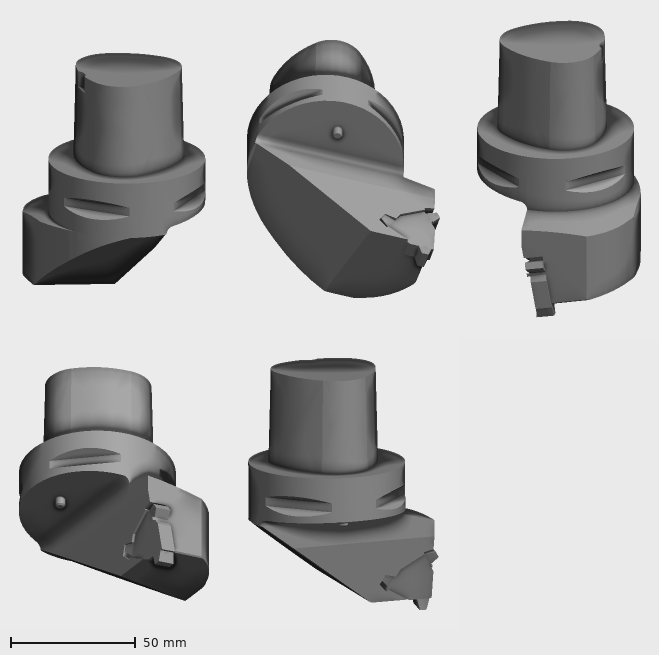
import cadquery as cq
import math

TOTAL_HEIGHT = 102.5
BIG = 204.9
THIRD_TURNS = (0, 120, 240)

COLLAR_RADIUS = 63.0 / 2
COLLAR_HEIGHT = 23.1
SLOT_LENGTH = 29.1
SLOT_FLAT_HEIGHT = 3.6
SLOT_CENTRE_Z = -12.1
SLOT_SIDE_ANGLE = 32.0

SHANK_HEIGHT = 37.9
FLANK_DISTANCE = 20.4
LOBE_DISTANCE = 23.6
FLANK_RADIUS = 38.9
SHANK_TAPER = math.degrees(math.atan(1 / 40))
NOTCH_RADIUS = 5.6
NOTCH_INNER_Y = -17.9
NOTCH_DEPTH = 6.6

HEAD_BACK_Y = 6.0
SIDE_BACK_X = -44.1
SIDE_CORNER = (-43.4, -20.5)
SIDE_ARC_END = (-26.4, -34.8)
SIDE_ARC_BULGE = 2.0
FRONT_Y = -36.4
FRONT_FLAT_LEFT_X = -20.3
FRONT_FLAT_RIGHT_X = -13.9
BLEND_ARC_BULGE = 0.4
TANGENT_ANGLE = 31.0

HEAD_TOP_ANGLE = 15.0
FRONT_BEVEL_Z = -27.6
FRONT_BEVEL_ANGLE = 15.0
UNDERCUT_TOP = (COLLAR_RADIUS, -22.1)
UNDERCUT_END = (-18.4, -59.3)
BOTTOM_CHAMFER = 0.5
RELIEF_RIM_Z = -18.1
RELIEF_ANGLE = 5.0
RELIEF_FILLET = 3.1

NOZZLE_DIAMETER = 4.0
NOZZLE_TIP_DIAMETER = 2.7
NOZZLE_Y = 18.1
NOZZLE_END_Z = -22.8

SEAT_TILT = 10.0
INSERT_X = -37.0
TIP_Z = SHANK_HEIGHT - TOTAL_HEIGHT
TIP_REACH = 13.1
TIP_OFFSET = -4.6
TIP_END_WIDTH = 2.8
TIP_ROOT_WIDTH = 5.3
CORE_SIDE_DISTANCE = 8.2
CORE_END_DISTANCE = 8.6
INSERT_THICKNESS = 7.3
TIP_CLEARANCE = 1.8
HEAD_BOTTOM_DROP = 7.8
SEAT_FACE_RISE = 0.5

tilt = math.radians(SEAT_TILT)
seat_plane = cq.Plane(
    origin=(INSERT_X, TIP_REACH * math.sin(tilt), TIP_Z + TIP_REACH * math.cos(tilt)),
    xDir=(1, 0, 0),
    normal=(0, -math.cos(tilt), math.sin(tilt)),
)


def polar(radius, degrees):
    """Point at a radius and an angle from +X."""
    angle = math.radians(degrees)
    return (radius * math.cos(angle), radius * math.sin(angle))


def make_shank():
    """Tapered coupling: three flank arcs, tangent to three lobe arcs."""
    flank_offset = FLANK_RADIUS - FLANK_DISTANCE
    gap = LOBE_DISTANCE - FLANK_DISTANCE
    lobe_offset = (2 * gap * flank_offset - gap**2) / (flank_offset - 2 * gap)
    lobe_radius = LOBE_DISTANCE - lobe_offset
    first_lobe_angle = -30
    lobe_x, lobe_y = polar(lobe_offset, first_lobe_angle)
    reach = FLANK_RADIUS / (FLANK_RADIUS - lobe_radius)
    joint_x = lobe_x * reach
    joint_y = flank_offset + (lobe_y - flank_offset) * reach
    joint_radius = math.hypot(joint_x, joint_y)
    joint_angle = math.degrees(math.atan2(joint_x, -joint_y))

    outline = cq.Workplane("XY").moveTo(*polar(joint_radius, -90 - joint_angle))
    for turn in THIRD_TURNS:
        flank_angle = turn - 90
        flank_end = polar(joint_radius, flank_angle + joint_angle)
        lobe_end = polar(joint_radius, flank_angle + 120 - joint_angle)
        outline = outline.threePointArc(polar(FLANK_DISTANCE, flank_angle), flank_end)
        outline = outline.threePointArc(polar(LOBE_DISTANCE, turn + first_lobe_angle), lobe_end)
    shank = outline.close().extrude(SHANK_HEIGHT, taper=SHANK_TAPER)
    notch = (
        cq.Workplane("XY", origin=(0, NOTCH_INNER_Y - NOTCH_RADIUS, SHANK_HEIGHT))
        .circle(NOTCH_RADIUS)
        .extrude(-NOTCH_DEPTH)
    )
    return shank.cut(notch)


def make_collar():
    """Cylindrical collar with four gripper slots between the axes."""
    collar = cq.Workplane("XY").circle(COLLAR_RADIUS).extrude(-COLLAR_HEIGHT)
    flat_distance = math.sqrt(COLLAR_RADIUS**2 - (SLOT_LENGTH / 2) ** 2)
    half_flat = SLOT_FLAT_HEIGHT / 2
    flared = half_flat + (COLLAR_RADIUS - flat_distance) * math.tan(math.radians(SLOT_SIDE_ANGLE))
    slot = (
        cq.Workplane("XZ", origin=(0, 0, SLOT_CENTRE_Z))
        .polyline(
            [
                (flat_distance, -half_flat),
                (COLLAR_RADIUS, -flared),
                (COLLAR_RADIUS, flared),
                (flat_distance, half_flat),
            ]
        )
        .close()
        .extrude(SLOT_LENGTH / 2, both=True)
    )
    for angle in (45, 135, 225, 315):
        collar = collar.cut(slot.rotate((0, 0, 0), (0, 0, 1), angle))
    return collar


def make_head_plan():
    """Offset head outline, extruded down past its lowest point."""
    angle = math.radians(TANGENT_ANGLE)
    front_radius = (
        COLLAR_RADIUS - FRONT_FLAT_RIGHT_X * math.sin(angle) + FRONT_Y * math.cos(angle)
    ) / (1 - math.cos(angle))
    front_centre_y = FRONT_Y + front_radius

    def front_point(degrees):
        x, y = polar(front_radius, degrees - 90)
        return (FRONT_FLAT_RIGHT_X + x, front_centre_y + y)

    back_x = math.sqrt(COLLAR_RADIUS**2 - HEAD_BACK_Y**2)
    return (
        cq.Workplane("XY")
        .moveTo(SIDE_BACK_X, HEAD_BACK_Y)
        .lineTo(*SIDE_CORNER)
        .sagittaArc(SIDE_ARC_END, -SIDE_ARC_BULGE)
        .sagittaArc((FRONT_FLAT_LEFT_X, FRONT_Y), -BLEND_ARC_BULGE)
        .lineTo(FRONT_FLAT_RIGHT_X, FRONT_Y)
        .threePointArc(front_point(TANGENT_ANGLE / 2), front_point(TANGENT_ANGLE))
        .lineTo(*polar(COLLAR_RADIUS, TANGENT_ANGLE - 90))
        .threePointArc((COLLAR_RADIUS, 0), (back_x, HEAD_BACK_Y))
        .close()
        .extrude(-BIG)
    )


def make_head():
    """Head below the collar, trimmed by its conical top, front bevel, undercut and bottom."""
    head_drop = (BIG - COLLAR_RADIUS) * math.tan(math.radians(HEAD_TOP_ANGLE))
    under_cone = (
        cq.Workplane("XZ")
        .polyline(
            [
                (0, -COLLAR_HEIGHT),
                (COLLAR_RADIUS, -COLLAR_HEIGHT),
                (BIG, -COLLAR_HEIGHT - head_drop),
                (BIG, -BIG),
                (0, -BIG),
            ]
        )
        .close()
        .revolve(360, (0, 0), (0, 1))
    )
    bevel_lean = math.tan(math.radians(FRONT_BEVEL_ANGLE))
    front_bevel = (
        cq.Workplane("YZ")
        .polyline(
            [
                (FRONT_Y - BIG * bevel_lean, FRONT_BEVEL_Z - BIG),
                (FRONT_Y - FRONT_BEVEL_Z * bevel_lean, 0),
                (FRONT_Y - BIG * bevel_lean, 0),
            ]
        )
        .close()
        .extrude(BIG, both=True)
    )
    slope = (UNDERCUT_TOP[1] - UNDERCUT_END[1]) / (UNDERCUT_TOP[0] - UNDERCUT_END[0])
    undercut = (
        cq.Workplane("XZ")
        .polyline(
            [
                (UNDERCUT_TOP[0] + BIG, UNDERCUT_TOP[1] + BIG * slope),
                (UNDERCUT_END[0] - BIG, UNDERCUT_END[1] - BIG * slope),
                (UNDERCUT_TOP[0] + BIG, UNDERCUT_END[1] - BIG * slope),
            ]
        )
        .close()
        .extrude(BIG, both=True)
    )
    below_bottom = (
        cq.Workplane(seat_plane)
        .center(0, -HEAD_BOTTOM_DROP - BIG / 2)
        .rect(BIG, BIG)
        .extrude(BIG, both=True)
    )
    above_seat_face = cq.Workplane(seat_plane).workplane(offset=-SEAT_FACE_RISE).rect(BIG, BIG).extrude(-BIG)
    head = make_head_plan().intersect(under_cone)
    for cutter in (front_bevel, undercut, below_bottom, above_seat_face):
        head = head.cut(cutter)
    side_foot = cq.Workplane(seat_plane).pushPoints([(SIDE_BACK_X - INSERT_X, -HEAD_BOTTOM_DROP)]).val()
    return head.edges(cq.selectors.NearestToPointSelector(side_foot.toTuple())).chamfer(BOTTOM_CHAMFER)


def make_back_relief():
    """Space behind the head: a sloped collar underside blending into the head's back wall."""
    root_z = RELIEF_RIM_Z - (COLLAR_RADIUS - HEAD_BACK_Y) * math.tan(math.radians(RELIEF_ANGLE))
    outer_z = RELIEF_RIM_Z + (BIG - COLLAR_RADIUS) * math.tan(math.radians(RELIEF_ANGLE))
    return (
        cq.Workplane("YZ")
        .polyline([(HEAD_BACK_Y, root_z), (BIG, outer_z), (BIG, -BIG), (HEAD_BACK_Y, -BIG)])
        .close()
        .extrude(BIG, both=True)
        .edges(cq.selectors.NearestToPointSelector((0, HEAD_BACK_Y, root_z)))
        .fillet(RELIEF_FILLET)
    )


def make_nozzle():
    """Coolant nozzle under the collar, with a chamfered tip."""
    return (
        cq.Workplane("XY", origin=(0, NOZZLE_Y, NOZZLE_END_Z))
        .circle(NOZZLE_DIAMETER / 2)
        .extrude(RELIEF_RIM_Z - NOZZLE_END_Z)
        .faces("<Z")
        .chamfer((NOZZLE_DIAMETER - NOZZLE_TIP_DIAMETER) / 2)
    )


def make_core_and_tip(core_top, tip_top, clearance=0.0):
    """Six-sided core and one tip, each from its given level down to the seat."""
    square_radius = math.hypot(CORE_SIDE_DISTANCE, CORE_END_DISTANCE)
    square_angle = 180 + math.degrees(math.atan2(CORE_END_DISTANCE, CORE_SIDE_DISTANCE))
    facet_turn = math.radians(30)
    shallow_rise = (CORE_END_DISTANCE - CORE_SIDE_DISTANCE * math.cos(facet_turn)) / math.sin(facet_turn)
    shallow_radius = math.hypot(CORE_SIDE_DISTANCE, shallow_rise)
    shallow_angle = 180 - math.degrees(math.atan2(shallow_rise, CORE_SIDE_DISTANCE))
    corners = []
    for turn in THIRD_TURNS:
        corners.append(polar(shallow_radius, shallow_angle + turn))
        corners.append(polar(square_radius, square_angle + turn))
    core = (
        cq.Workplane(seat_plane)
        .workplane(offset=core_top)
        .polyline(corners)
        .close()
        .extrude(INSERT_THICKNESS - core_top)
    )
    tip = (
        cq.Workplane(seat_plane)
        .workplane(offset=tip_top)
        .polyline(
            [
                (TIP_OFFSET - TIP_ROOT_WIDTH / 2 - clearance, -CORE_END_DISTANCE),
                (TIP_OFFSET - TIP_END_WIDTH / 2 - clearance, -TIP_REACH),
                (TIP_OFFSET + TIP_END_WIDTH / 2, -TIP_REACH),
                (TIP_OFFSET + TIP_ROOT_WIDTH / 2, -CORE_END_DISTANCE),
            ]
        )
        .close()
        .extrude(INSERT_THICKNESS - tip_top)
    )
    return core, tip


def spread_on_core(core, tip):
    """Core joined with three copies of a tip around the insert's centre."""
    centre = seat_plane.origin
    for turn in THIRD_TURNS:
        core = core.union(tip.rotate(centre.toTuple(), (centre + seat_plane.zDir).toTuple(), turn))
    return core


def make_insert():
    """Grooving insert: each rake face falls from the cutting edge to the core face.

    The rake face of the lowest tip is upright, level with the coupling axis.
    """
    rake_drop = (TIP_REACH - CORE_END_DISTANCE) * math.tan(tilt)
    core, tip = make_core_and_tip(rake_drop, 0)
    above_rake = cq.Workplane("XZ", origin=(INSERT_X, 0, TIP_Z)).rect(BIG, BIG).extrude(-BIG)
    return spread_on_core(core, tip.cut(above_rake))


def make_pocket():
    """Insert seat in the head, open above the insert and clear of one side of each tip."""
    core, tip = make_core_and_tip(-BIG, -BIG, TIP_CLEARANCE)
    return spread_on_core(core, tip)


insert = make_insert()
holder = make_collar().union(make_head()).cut(make_back_relief())
holder = holder.union(make_shank()).union(make_nozzle()).cut(make_pocket())

result = cq.Compound.makeCompound([holder.val(), insert.val()])